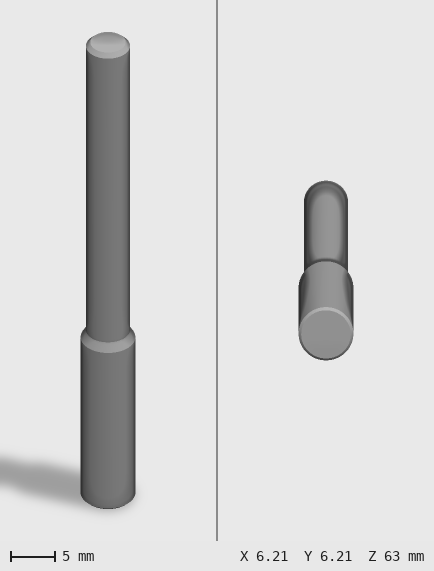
import cadquery as cq
import math

total_length = 63.0
shank_diameter = 5.0
head_diameter = 6.21

head_length = 23.0
shoulder_angle = 30.0
head_end_chamfer = 0.3
shank_end_chamfer_height = 0.5
shank_end_chamfer_width = 0.5

shank_radius = shank_diameter / 2
head_radius = head_diameter / 2
shoulder_height = (head_radius - shank_radius) / math.tan(math.radians(shoulder_angle))


def turn(profile):
    """Revolve a closed radius-height profile about the Z axis."""
    return cq.Workplane("XZ").polyline(profile).close().revolve(360, (0, 0, 0), (0, 1, 0))


def make_head():
    """Thick cylinder with a chamfered lower end and a cone narrowing to the shank."""
    return turn([
        (0, 0),
        (head_radius - head_end_chamfer, 0),
        (head_radius, head_end_chamfer),
        (head_radius, head_length - shoulder_height),
        (shank_radius, head_length),
        (0, head_length),
    ])


def make_shank():
    """Thin cylinder standing on the flat top of the head, with a chamfered upper end."""
    return turn([
        (0, head_length),
        (shank_radius, head_length),
        (shank_radius, total_length - shank_end_chamfer_height),
        (shank_radius - shank_end_chamfer_width, total_length),
        (0, total_length),
    ])


head = make_head()
shank = make_shank()

result = cq.Compound.makeCompound([head.val(), shank.val()])